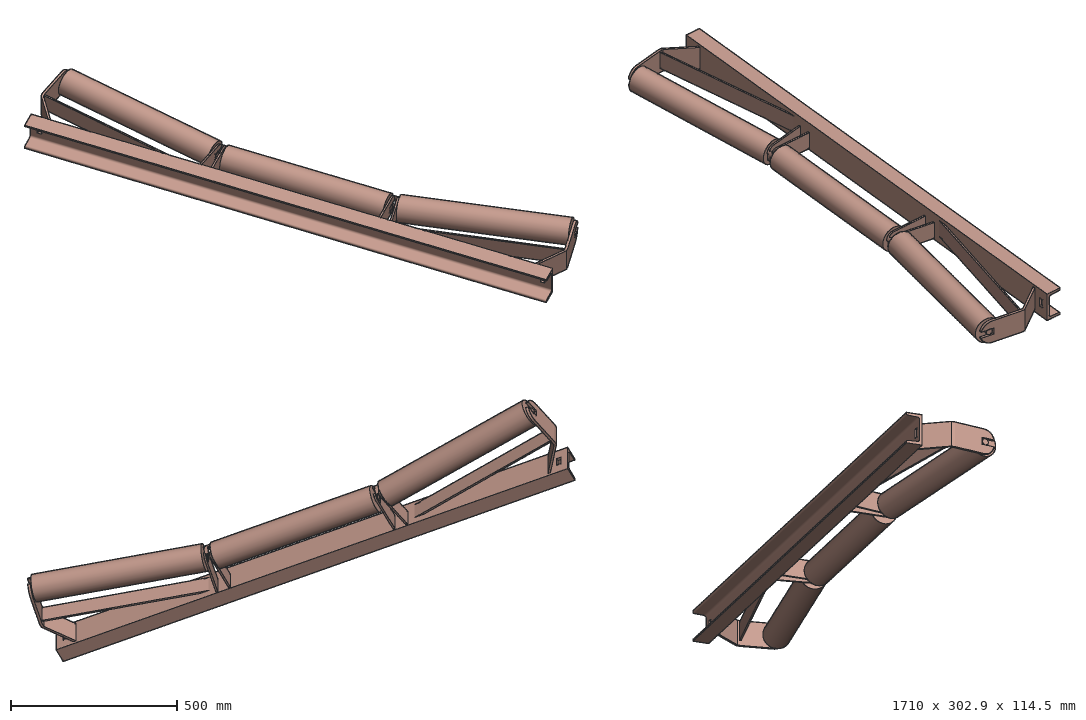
import cadquery as cq
import math


channel_length = 1699.0
channel_height = 100.0
channel_depth = 51.0
web_thickness = 9.0
flange_tip_thickness = 9.0
flange_root_thickness = 10.0
channel_root_radius = 7.0
flange_tip_radius = 5.0
slot_hole_width = 14.0
slot_hole_height = 29.0
slot_hole_x = 820.0
edge_tolerance = 0.2

trough_angle = 10.0
forward_tilt = 2.0
roller_diameter = 85.0
roller_length = 530.0
shaft_diameter = 20.0
shaft_overhang = 10.0
middle_axis_y = 115.0
middle_axis_z = -22.0
wing_end_x = -823.0
wing_end_y = 210.0

arm_height = 80.0
arm_tip_radius = 38.0
slot_width = 22.0
slot_seat_depth = 12.0
arm_foot_x = -792.0
arm_knee_x = -855.0
arm_knee_y = 92.0
arm_knee_flat = 12.0
arm_tip_y = 243.0
arm_thickness = 9.0
arm_slot_length = 35.0
bracket_thickness = 6.0
bracket_inner_x = -270.0
bracket_top_y = 147.0
bracket_top_width = 22.0
bracket_height = 60.0
bracket_middle_z = -15.0
bracket_tip_radius = 25.0
bracket_slot_length = 24.0
brace_height = 60.0
brace_middle_z = 5.0
brace_thickness = 5.0
brace_end_x = -342.0
brace_start_y = 103.0

trough = math.radians(trough_angle)
tilt = math.radians(forward_tilt)
trough_slope = math.tan(trough)
wing_direction = cq.Vector(
    math.cos(tilt) * math.cos(trough),
    -math.cos(tilt) * math.sin(trough),
    -math.sin(tilt),
)
wing_outer_end = cq.Vector(wing_end_x, wing_end_y, 0)
wing_inner_end = wing_outer_end + wing_direction * roller_length
middle_start = cq.Vector(-roller_length / 2, middle_axis_y, middle_axis_z)


def rod(start, direction, diameter, length):
    """A round bar from a start point, with its seam line facing +Z."""
    plane = cq.Plane(origin=start, xDir=cq.Vector(0, 0, 1), normal=direction)
    return cq.Workplane(plane).circle(diameter / 2).extrude(length)


def flipped(vector):
    """The +X twin of a point or direction on the -X side."""
    return cq.Vector(-vector.x, vector.y, vector.z)


def make_shaft(start, direction):
    """A plain shaft that stands out of both ends of its roller."""
    end = start - direction * shaft_overhang
    return rod(end, direction, shaft_diameter, roller_length + 2 * shaft_overhang)


def make_roller(start, direction):
    """A roller bored to fit its shaft."""
    roller = rod(start, direction, roller_diameter, roller_length)
    return roller.cut(make_shaft(start, direction))


def edges_between_flanges(y, z):
    """Selects the long channel edges at a given Y that lie no further than z from the middle."""
    near = (-channel_length, y - edge_tolerance, -z - edge_tolerance)
    far = (channel_length, y + edge_tolerance, z + edge_tolerance)
    return cq.selectors.BoxSelector(near, far)


def make_channel():
    """A U-channel, open towards -Y, with tapered flanges and a slot hole near each end."""
    half = channel_height / 2
    root_z = half - flange_root_thickness
    tip_z = half - flange_tip_thickness
    channel = (
        cq.Workplane("YZ")
        .polyline([
            (0, -half),
            (0, half),
            (-channel_depth, half),
            (-channel_depth, tip_z),
            (-web_thickness, root_z),
            (-web_thickness, -root_z),
            (-channel_depth, -tip_z),
            (-channel_depth, -half),
        ])
        .close()
        .extrude(channel_length / 2, both=True)
    )
    roots = edges_between_flanges(-web_thickness, root_z)
    channel = channel.edges("|X").edges(roots).fillet(channel_root_radius)
    tips = edges_between_flanges(-channel_depth, tip_z)
    channel = channel.edges("|X").edges(tips).fillet(flange_tip_radius)
    holes = (
        cq.Workplane("XZ")
        .pushPoints([(-slot_hole_x, 0), (slot_hole_x, 0)])
        .rect(slot_hole_width, slot_hole_height)
        .extrude(web_thickness)
    )
    return channel.cut(holes)


def standing_plate(plan, height):
    """A plan outline made into a plate that is centred on Z = 0."""
    return cq.Workplane("XY").polyline(plan).close().extrude(height / 2, both=True)


def strip_plan(path, thickness):
    """The outline of a strip that follows a path and is thickened towards +X."""
    return path + [(x + thickness, y) for x, y in reversed(path)]


def round_tip(plate, tip_y, height, radius):
    """Round the two corners of a plate's tip."""
    envelope = (
        cq.Workplane("YZ")
        .center(tip_y / 2, 0)
        .rect(tip_y, height)
        .extrude(channel_length, both=True)
        .edges("|X and >Y")
        .fillet(radius)
    )
    return plate.intersect(envelope)


def cut_shaft_slot(plate, axis_point, length):
    """Cut a slot, open at the tip, that runs along X and seats a shaft."""
    slot = (
        cq.Workplane("XY")
        .box(length, arm_tip_y, slot_width, centered=(True, False, True))
        .translate((axis_point.x, axis_point.y - slot_seat_depth, axis_point.z))
    )
    return plate.cut(slot)


def make_arm():
    """The bent outer arm: a sloping leg, a knee, and an upright square to the wing roller."""
    knee_top_y = arm_knee_y + arm_knee_flat
    path = [
        (arm_foot_x, 0),
        (arm_knee_x, arm_knee_y),
        (arm_knee_x, knee_top_y),
        (arm_knee_x + (arm_tip_y - knee_top_y) * trough_slope, arm_tip_y),
    ]
    arm = standing_plate(strip_plan(path, arm_thickness), arm_height)
    arm = round_tip(arm, arm_tip_y, arm_height, arm_tip_radius)
    seat = wing_outer_end - wing_direction * (shaft_overhang / 2)
    return cut_shaft_slot(arm, seat, arm_slot_length)


def make_brace():
    """The strip from the knee of the arm down to the channel."""
    knee_x = arm_knee_x + arm_thickness / 2
    plan = [
        (knee_x, brace_start_y - brace_thickness / 2),
        (knee_x, brace_start_y + brace_thickness / 2),
        (brace_end_x, 0),
        (brace_end_x - brace_thickness / trough_slope, 0),
    ]
    return standing_plate(plan, brace_height).translate((0, 0, brace_middle_z))


def make_bracket():
    """The folded bracket between two rollers: one square leg, one leaning leg and a bridge."""
    inner_x = bracket_inner_x
    top_x = inner_x - bracket_top_width
    foot_x = top_x - bracket_top_y * trough_slope
    under_y = bracket_top_y - bracket_thickness
    under_x = top_x - bracket_thickness * trough_slope
    plan = [
        (inner_x, 0),
        (inner_x, bracket_top_y),
        (top_x, bracket_top_y),
        (foot_x, 0),
        (foot_x + bracket_thickness, 0),
        (under_x + bracket_thickness, under_y),
        (inner_x - bracket_thickness, under_y),
        (inner_x - bracket_thickness, 0),
    ]
    bracket = standing_plate(plan, bracket_height)
    bracket = round_tip(bracket, bracket_top_y, bracket_height, bracket_tip_radius)
    bracket = bracket.translate((0, 0, bracket_middle_z))
    bracket = cut_shaft_slot(bracket, middle_start, bracket_slot_length)
    return cut_shaft_slot(bracket, wing_inner_end, bracket_slot_length)


def make_frame():
    """The welded frame: the channel with an arm, a brace and a bracket at each side."""
    side = make_arm().union(make_brace()).union(make_bracket())
    return make_channel().union(side).union(side.mirror("YZ"))


frame = make_frame()
along_x = cq.Vector(1, 0, 0)
roller_axes = [
    (middle_start, along_x),
    (wing_outer_end, wing_direction),
    (flipped(wing_outer_end), flipped(wing_direction)),
]
rollers = [make_roller(start, direction) for start, direction in roller_axes]
shafts = [make_shaft(start, direction) for start, direction in roller_axes]

result = cq.Compound.makeCompound([body.val() for body in [frame, *rollers, *shafts]])